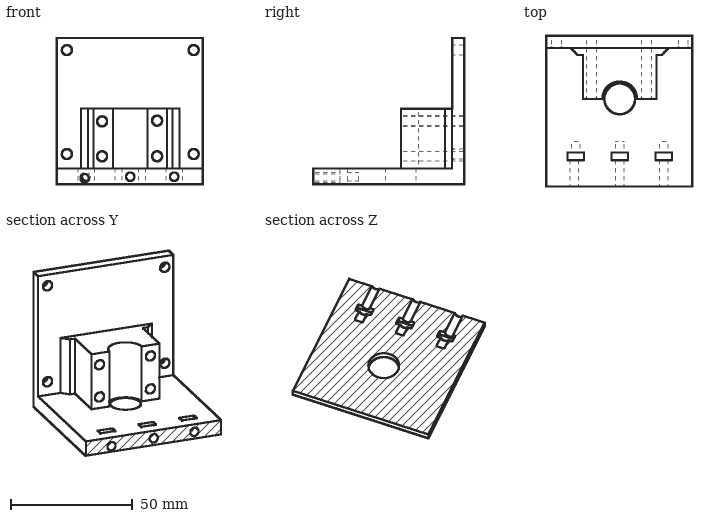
import cadquery as cq

width = 60.0
depth = 62.0
height = 60.0
wall_thickness = 5.0
base_thickness = 6.6
wall_face_y = depth - wall_thickness

mid_x = 30.2
block_width = 30.1
block_front_y = 36.0
block_top_z = 31.0
foot_width = 40.4
foot_depth = 2.9
foot_chamfer = foot_depth
bore_diameter = 14.25
base_hole_diameter = 12.5

screw_diameter = 4.0
wall_left_x = 4.2
wall_right_x = 56.25
wall_low_z = 12.4
wall_high_z = 55.05
block_left_x = 18.65
block_right_x = 41.2
block_low_z = 11.5
left_high_z = 25.8
right_high_z = 26.1
screw_centers = [
    (wall_left_x, wall_low_z),
    (wall_left_x, wall_high_z),
    (wall_right_x, wall_low_z),
    (wall_right_x, wall_high_z),
    (block_left_x, block_low_z),
    (block_left_x, left_high_z),
    (block_right_x, block_low_z),
    (block_right_x, right_high_z),
]

slot_pitch = 18.05
slot_length = 6.65
slot_width = 3.05
slot_y = 12.45
bolt_diameter = 3.5
bolt_z = 3.1
bolt_depth = 18.6
left_entry_x = 11.5
left_entry_z = 2.55
slot_centers_x = [mid_x - slot_pitch, mid_x, mid_x + slot_pitch]


def cylinder_along_y(x, z, diameter, start_y, end_y):
    """Cylinder parallel to Y between two Y positions."""
    plane = cq.Workplane("XZ", origin=(x, start_y, z))
    return plane.circle(diameter / 2).extrude(start_y - end_y)


def cylinder_along_z(diameter, start_z, end_z):
    """Vertical cylinder centered on the front face of the block."""
    plane = cq.Workplane("XY", origin=(mid_x, block_front_y, start_z))
    return plane.circle(diameter / 2).extrude(end_z - start_z)


def make_bracket():
    """Base plate and upright back wall."""
    base = cq.Workplane("XY").box(width, depth, base_thickness, centered=False)
    wall = cq.Workplane("XY").box(width, wall_thickness, height, centered=False)
    return base.union(wall.translate((0, wall_face_y, 0)))


def make_block():
    """Block with a wider foot at the wall, its sides tapering at 45 degrees."""
    half_block = block_width / 2
    half_foot = foot_width / 2
    half_foot_front = half_foot - foot_chamfer
    foot_front_y = wall_face_y - foot_depth
    right_side = [
        (half_block, block_front_y),
        (half_block, foot_front_y),
        (half_foot_front, foot_front_y),
        (half_foot, wall_face_y),
    ]
    left_side = [(-x, y) for x, y in reversed(right_side)]
    outline = cq.Workplane("XY", origin=(mid_x, 0, base_thickness)).polyline(right_side + left_side)
    return outline.close().extrude(block_top_z - base_thickness)


def cut_bolt_seats(body):
    """Nut slots and bolt holes; the left bolt hole is offset in front of its slot."""
    for x in slot_centers_x:
        slot = cq.Workplane("XY").center(x, slot_y).rect(slot_length, slot_width).extrude(base_thickness)
        body = body.cut(slot)
    left_x, *straight_centers_x = slot_centers_x
    for x in straight_centers_x:
        body = body.cut(cylinder_along_y(x, bolt_z, bolt_diameter, 0, bolt_depth))
    left_entry = cylinder_along_y(left_entry_x, left_entry_z, bolt_diameter, 0, slot_y)
    left_end = cylinder_along_y(left_x, bolt_z, bolt_diameter, slot_y, bolt_depth)
    return body.cut(left_entry).cut(left_end)


block = make_block().cut(cylinder_along_z(bore_diameter, base_thickness, block_top_z))
result = make_bracket().union(block)
result = result.cut(cylinder_along_z(base_hole_diameter, 0, base_thickness))
for screw_x, screw_z in screw_centers:
    result = result.cut(cylinder_along_y(screw_x, screw_z, screw_diameter, block_front_y, depth))
result = cut_bolt_seats(result)